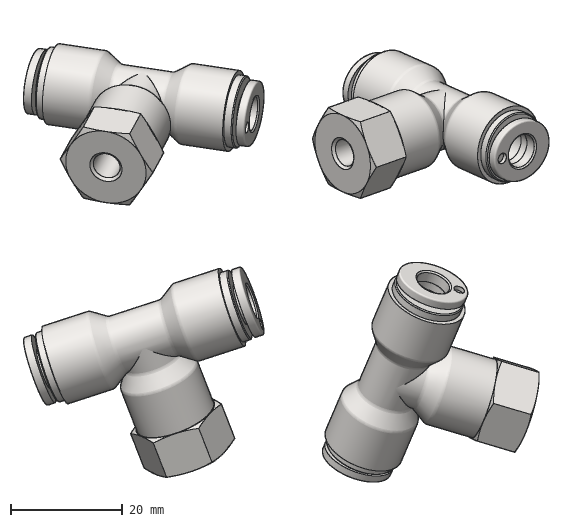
import cadquery as cq
import math


BUTTON_END = 20.65
FLANGE_BACK = 19.1
RING_END = 18.38
ARM_END = 16.8
BARREL_START = 8.0
NECK_END = 5.0
NUT_END = 24.8

BARREL_DIAMETER = 14.7
NECK_DIAMETER = 10.65
SHOULDER_FILLET = 1.0
BORE_DIAMETER = 4.0
SOCKET_BOTTOM = 8.25

TUBE_DIAMETER = 6.2
RING_DIAMETER = 13.15
RING_CHAMFER = 0.2
STEM_DIAMETER = 7.5
FLANGE_WIDTH = 13.15
FLANGE_HEIGHT = 11.45
RIM_FILLET = 0.3
MOUTH_CHAMFER = 0.3
DIMPLE_DIAMETER = 2.0
DIMPLE_DEPTH = 0.83
DIMPLE_OFFSET = 4.85

HEX_ACROSS_FLATS = 15.0
HEX_ACROSS_CORNERS = HEX_ACROSS_FLATS / math.cos(math.radians(30))
HEX_CORNER_BEVEL = 0.4
NUT_BORE_DIAMETER = 5.0
NUT_MOUTH_DIAMETER = 6.0

LEFT_PORT_ANGLE = 180
BRANCH_ANGLE = -90
RUN_ANGLES = (0, LEFT_PORT_ANGLE)


def turned(points):
    """Revolve an (axial, radial) outline about the X axis."""
    return cq.Workplane("XY").polyline(points).close().revolve(360, (0, 0, 0), (1, 0, 0))


def cylinder(diameter, start, end):
    """Cylinder on the X axis between two axial stations."""
    return cq.Workplane("YZ", origin=(start, 0, 0)).circle(diameter / 2).extrude(end - start)


def aim(body, angle):
    """Turn a body modelled along +X toward another port."""
    return body.rotate((0, 0, 0), (0, 0, 1), angle)


def make_arm():
    """Neck, cone and barrel of one housing arm, with rounded shoulders."""
    neck_radius = NECK_DIAMETER / 2
    barrel_radius = BARREL_DIAMETER / 2
    arm = turned([
        (0, 0),
        (0, neck_radius),
        (NECK_END, neck_radius),
        (BARREL_START, barrel_radius),
        (ARM_END, barrel_radius),
        (ARM_END, 0),
    ])
    return arm.faces("%CONE").edges("%CIRCLE").fillet(SHOULDER_FILLET)


def make_housing():
    """Three equal arms joined as a tee, with crossing bores and two tube sockets."""
    arm = make_arm()
    body = arm.union(aim(arm, LEFT_PORT_ANGLE)).union(aim(arm, BRANCH_ANGLE))
    body = body.cut(cylinder(BORE_DIAMETER, -ARM_END, ARM_END))
    body = body.cut(aim(cylinder(BORE_DIAMETER, 0, ARM_END), BRANCH_ANGLE))
    socket = cylinder(TUBE_DIAMETER, SOCKET_BOTTOM, ARM_END)
    for angle in RUN_ANGLES:
        body = body.cut(aim(socket, angle))
    return body


def make_ring():
    """Collar ring seated on the end face of a run arm."""
    ring = cylinder(RING_DIAMETER, ARM_END, RING_END)
    ring = ring.faces(">X").edges().chamfer(RING_CHAMFER)
    return ring.cut(cylinder(TUBE_DIAMETER, ARM_END, RING_END))


def make_button(dimple_y):
    """Release button: round stem, elliptical flange, tube bore and a blind dimple."""
    flange = (
        cq.Workplane("YZ", origin=(FLANGE_BACK, 0, 0))
        .ellipse(FLANGE_WIDTH / 2, FLANGE_HEIGHT / 2)
        .extrude(BUTTON_END - FLANGE_BACK)
    )
    flange = flange.faces(">X").edges().fillet(RIM_FILLET)
    button = flange.union(cylinder(STEM_DIAMETER, RING_END, FLANGE_BACK))
    button = button.cut(cylinder(TUBE_DIAMETER, RING_END, BUTTON_END))
    button = button.faces(">X").edges("%CIRCLE").chamfer(MOUTH_CHAMFER)
    dimple = cylinder(DIMPLE_DIAMETER, BUTTON_END - DIMPLE_DEPTH, BUTTON_END)
    return button.cut(dimple.translate((0, dimple_y, 0)))


def make_nut():
    """Hex nut on the branch, bevelled at both ends, with a countersunk bore."""
    hexagon = (
        cq.Workplane("YZ", origin=(ARM_END, 0, 0))
        .polygon(6, HEX_ACROSS_CORNERS)
        .extrude(NUT_END - ARM_END)
    )
    flat_radius = HEX_ACROSS_FLATS / 2
    corner_radius = HEX_ACROSS_CORNERS / 2
    bevel_envelope = turned([
        (ARM_END, 0),
        (ARM_END, flat_radius),
        (ARM_END + HEX_CORNER_BEVEL, corner_radius),
        (NUT_END - HEX_CORNER_BEVEL, corner_radius),
        (NUT_END, flat_radius),
        (NUT_END, 0),
    ])
    nut = hexagon.intersect(bevel_envelope)
    nut = nut.cut(cylinder(NUT_BORE_DIAMETER, ARM_END, NUT_END))
    mouth_radius = NUT_MOUTH_DIAMETER / 2
    countersink = turned([
        (NUT_END, 0),
        (NUT_END, mouth_radius),
        (NUT_END - mouth_radius, 0),
    ])
    return aim(nut.cut(countersink), BRANCH_ANGLE)


housing = make_housing()
nut = make_nut()

rings = []
buttons = []
for angle in RUN_ANGLES:
    dimple_y = -DIMPLE_OFFSET * math.cos(math.radians(angle))
    rings.append(aim(make_ring(), angle).val())
    buttons.append(aim(make_button(dimple_y), angle).val())

result = cq.Compound.makeCompound([housing.val(), nut.val(), *rings, *buttons])